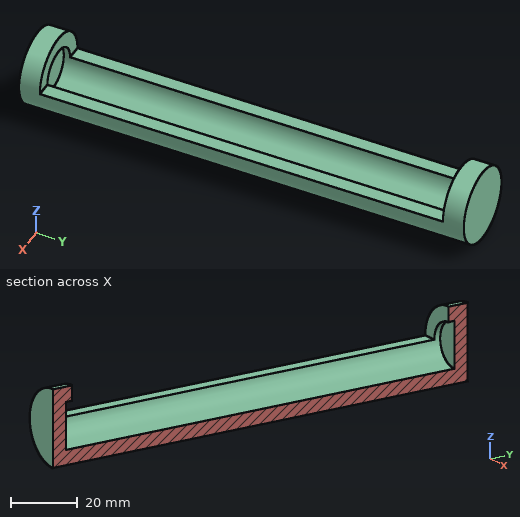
import cadquery as cq

length = 150.0
outer_diameter = 25.0
bore_diameter = 15.0

cap_length = 7.0
end_wall = 5.0

opening_length = length - 2 * cap_length
bore_length = length - 2 * end_wall


def rod(diameter, rod_length):
    """Cylinder along Y, centred on the origin."""
    start = cq.Workplane("XZ", origin=(0, rod_length / 2, 0))
    return start.circle(diameter / 2).extrude(rod_length)


opening = cq.Workplane("XY").box(
    outer_diameter, opening_length, outer_diameter, centered=(True, True, False)
)

result = rod(outer_diameter, length).cut(rod(bore_diameter, bore_length)).cut(opening)